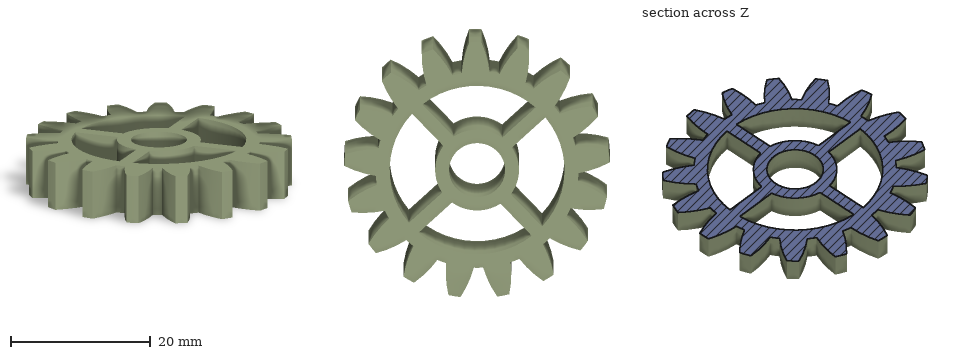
import cadquery as cq
import math

module = 2.0
addendum = module
dedendum = 1.25 * module
tooth_count = 17
thickness = 7.0
pitch_radius = module * tooth_count / 2
tip_radius = pitch_radius + addendum
root_radius = pitch_radius - dedendum

tooth_pitch = 360.0 / tooth_count
first_tooth_angle = 90.0
tip_half_angle = tooth_pitch / 8
pitch_half_angle = tooth_pitch / 4
root_half_angle = tooth_pitch * 3 / 8

bore_diameter = 8.0
hub_radius = 6.0
rim_inner_radius = 12.5
spoke_count = 4
spoke_width = 2.03
spoke_offset = 0.05


def polar(radius, angle):
    """Point at a radius and an angle in degrees about the gear axis."""
    return (radius * math.cos(math.radians(angle)), radius * math.sin(math.radians(angle)))


def make_gear_blank():
    """Solid toothed disc with curved flanks, rounded tips and rounded gap floors."""
    outline = cq.Workplane("XY").moveTo(*polar(root_radius, first_tooth_angle - root_half_angle))
    for index in range(tooth_count):
        center = first_tooth_angle + index * tooth_pitch
        outline = outline.threePointArc(
            polar(pitch_radius, center - pitch_half_angle),
            polar(tip_radius, center - tip_half_angle),
        )
        outline = outline.threePointArc(
            polar(tip_radius, center),
            polar(tip_radius, center + tip_half_angle),
        )
        outline = outline.threePointArc(
            polar(pitch_radius, center + pitch_half_angle),
            polar(root_radius, center + root_half_angle),
        )
        outline = outline.threePointArc(
            polar(root_radius, center + tooth_pitch / 2),
            polar(root_radius, center + tooth_pitch - root_half_angle),
        )
    return outline.close().extrude(thickness)


def make_spoke(angle):
    """Straight bar from inside the hub wall to inside the rim, along the given angle."""
    start = (bore_diameter / 2 + hub_radius) / 2
    end = (rim_inner_radius + root_radius) / 2
    bar = (
        cq.Workplane("XY")
        .center((start + end) / 2, -spoke_offset)
        .rect(end - start, spoke_width)
        .extrude(thickness)
    )
    return bar.rotate((0, 0, 0), (0, 0, 1), angle)


def make_windows():
    """Openings between hub and rim, separated by the spokes."""
    windows = cq.Workplane("XY").circle(rim_inner_radius).circle(hub_radius).extrude(thickness)
    for index in range(spoke_count):
        windows = windows.cut(make_spoke(index * 360.0 / spoke_count))
    return windows


bore = cq.Workplane("XY").circle(bore_diameter / 2).extrude(thickness)

result = make_gear_blank().cut(make_windows()).cut(bore)